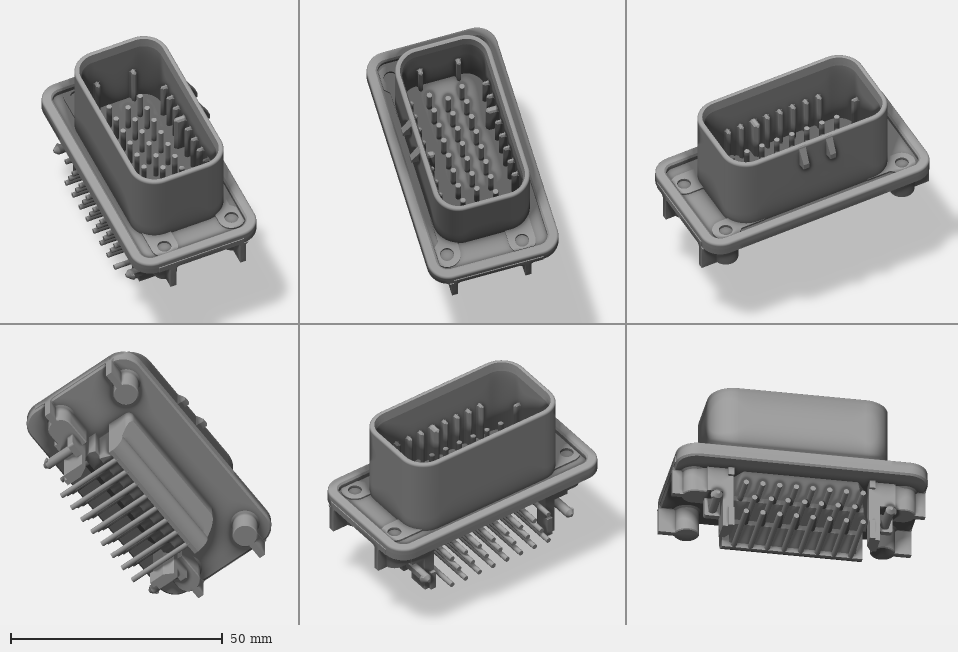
import cadquery as cq

LENGTH = 60.8
WIDTH = 32.1
FLANGE_DEPTH = 3.6
FLANGE_CORNER = 5.05
FLANGE_TOP_ROUND = 0.55
FLANGE_BOTTOM_BEVEL = 0.4
END_PAD = 0.2
PARTING_DEPTH = 1.5
DRAFT_ANGLE = 2.0

RIM = 2.6
RECESS_DEPTH = 1.5
RECESS_BEVEL = 0.4
PAD_TOP = -1.05
PAD_RADIUS = 3.2
PAD_REACH_OUT = 2.1
PAD_REACH_BACK = 2.4
PAD_BACK_LENGTH = 2.45
PAD_BACK_STEP = 1.2
PAD_HOLE_DIAMETER = 3.3
PAD_HOLE_DEPTH = 0.7

REAR_BOSS_X, REAR_BOSS_Y = 23.6, 10.75
FRONT_BOSS_X, FRONT_BOSS_Y = 25.1, -7.3
BOSS_DIAMETER = 5.95
BOSS_BOTTOM = -10.0
BOSS_BEVEL = 0.25
BOSS_FLARE = 0.4
BOSS_RIB_WIDTH = 1.5
BOSS_RIB_FLARE = 0.55

SHROUD_LENGTH = 43.3
SHROUD_WIDTH = 23.6
SHROUD_TOP = 18.5
SHROUD_CORNER = 6.2
SHROUD_RIM_ROUND = 0.55
MOUTH_WALL = 1.15
WALL = 1.65
LEAD_IN = 2.2
INNER_X = SHROUD_LENGTH / 2 - WALL
INNER_Y = SHROUD_WIDTH / 2 - WALL

LATCH_X = 3.6
LATCH_TIP_Y = 13.85
LATCH_ROOT_Y = 11.5
LATCH_BASE_WIDTH = 1.8
LATCH_TIP_WIDTH = 1.45
LATCH_SLOPE_END = 14.35
LATCH_BOTTOM = 12.95

KEY_TOP = 8.75
KEY_PITCH = 3.45
KEYS_PER_SIDE = 8
KEY_WIDTH, KEY_REACH = 1.05, 1.65
BIG_KEY_WIDTH, BIG_KEY_REACH = 1.6, 2.85
KEY_TOP_BEVEL = 0.4
KEY_NOSE_SHARE = 0.4
KEY_ROOT_FLARE = 0.3
SIDE_KEY_Y = 4.7
REAR_BIG_KEY = 3
FRONT_BIG_KEY = 5

PIN_DIAMETER = 1.3
PIN_PITCH = 4.0
PIN_TOP = 5.7
PIN_END_Y = -15.3
OUTER_ROW_PINS = 8
MIDDLE_ROW_PINS = 7
ROW_Z = -13.3
ROW_STEP = 3.95

BODY_BACK = 7.0
BODY_CORNER = 1.5
BODY_HALF = 16.9
STEP_HALF = 15.25
STEP_FACES = (-7.3, -3.2, 0.85)
STEP_FACE_HALF_HEIGHT = 0.6
BODY_BOTTOM = ROW_Z - ROW_STEP - STEP_FACE_HALF_HEIGHT
BODY_FRONT_TOP = -10.35
BODY_FRONT_TOP_HALF = 13.75
BODY_TAPER_START = -5.1
BACK_SLOPE_TOP = (BODY_BACK, -7.1)
BACK_SLOPE_END = (4.7, -13.75)
BACK_ROUND_MIDDLE = (3.9, -16.65)
BACK_ROUND_END = (1.9, BODY_BOTTOM)

BRACKET_BACK, BRACKET_FRONT = -5.65, -11.0
LEG_INNER, LEG_OUTER = 16.3, 18.9
BRACKET_OUTER = 22.6
LEG_BOTTOM = -19.35
LEG_BEVEL_X, LEG_BEVEL_Y = 1.3, 2.3
LEDGE_OUTER = 17.7
LEDGE_FRONT = -11.8
UPPER_LEDGE_BOTTOM = -5.55
LOWER_LEDGE_TOP = -14.4
PEG_PLATE_FRONT = -7.2
PEG_PLATE_BOTTOM = -14.6
PEG_PLATE_ROUND = 0.55
PEG_X, PEG_Z = 20.8, -12.8
PEG_RADIUS = 1.15
PEG_FLAT = 0.85
PEG_BARB_REACH = 1.5
PEG_BARB_HEIGHT = 1.5
PEG_BARB_START = -13.6
PEG_NOSE_LENGTH = 1.35
PEG_NOSE_RADIUS = 0.4

OVERLAP = 0.55
UNDER = -FLANGE_DEPTH + OVERLAP


def block(x0, x1, y0, y1, z0, z1):
    """Box between two corners."""
    return cq.Workplane("XY").box(
        abs(x1 - x0), abs(y1 - y0), abs(z1 - z0)
    ).translate(((x0 + x1) / 2, (y0 + y1) / 2, (z0 + z1) / 2))


def rounded_block(length, width, corner, z0, z1):
    """Centred box with rounded upright edges."""
    blank = cq.Workplane("XY").workplane(offset=z0).rect(length, width)
    return blank.extrude(z1 - z0).edges("|Z").fillet(corner)


def mirrored(shape):
    """The shape together with its copy on the other side of X = 0."""
    return shape.union(shape.mirror("YZ"))


def make_flange():
    outline = cq.Sketch().rect(LENGTH - 2 * END_PAD, WIDTH).vertices().fillet(FLANGE_CORNER)
    rim = cq.Workplane("XY").workplane(offset=-FLANGE_DEPTH)
    rim = rim.placeSketch(outline).extrude(FLANGE_DEPTH - PARTING_DEPTH)
    upper = cq.Workplane("XY").workplane(offset=-PARTING_DEPTH)
    upper = upper.placeSketch(outline).extrude(PARTING_DEPTH, taper=DRAFT_ANGLE)
    rim = rim.union(upper)
    rim = rim.faces(">Z").edges().fillet(FLANGE_TOP_ROUND)
    rim = rim.faces("<Z").edges().chamfer(FLANGE_BOTTOM_BEVEL)
    straight = WIDTH / 2 - FLANGE_CORNER
    end_bottom = FLANGE_BOTTOM_BEVEL - FLANGE_DEPTH
    ends = block(-LENGTH / 2, LENGTH / 2, -straight, straight, end_bottom, -PARTING_DEPTH)
    recess = rounded_block(
        LENGTH - 2 * (RIM + END_PAD), WIDTH - 2 * RIM, FLANGE_CORNER - RIM, -RECESS_DEPTH, 0
    )
    mouth = rounded_block(
        LENGTH - 2 * (RIM + END_PAD - RECESS_BEVEL),
        WIDTH - 2 * (RIM - RECESS_BEVEL),
        FLANGE_CORNER - RIM + RECESS_BEVEL,
        -RECESS_BEVEL,
        OVERLAP,
    ).faces("<Z").edges().chamfer(RECESS_BEVEL)
    return rim.union(ends).cut(recess).cut(mouth)


def make_front_pad():
    """Pad on the +X side in front, rounded outside and cut flat at its outer end."""
    height = PAD_TOP + RECESS_DEPTH
    base = cq.Workplane("XY").workplane(offset=-RECESS_DEPTH)
    pad = base.center(FRONT_BOSS_X, FRONT_BOSS_Y).circle(PAD_RADIUS).extrude(height)
    y0, y1 = FRONT_BOSS_Y - PAD_RADIUS, FRONT_BOSS_Y + PAD_RADIUS
    pad = pad.union(block(INNER_X - SHROUD_CORNER, FRONT_BOSS_X, y0, y1, -RECESS_DEPTH, PAD_TOP))
    limit = block(0, FRONT_BOSS_X + PAD_REACH_OUT, y0, y1, -RECESS_DEPTH, PAD_TOP)
    return pad.intersect(limit)


def make_rear_pad():
    """Pad on the +X side behind, cut flat at the back and stepping in towards the shroud."""
    height = PAD_TOP + RECESS_DEPTH
    base = cq.Workplane("XY").workplane(offset=-RECESS_DEPTH)
    back = REAR_BOSS_Y + PAD_REACH_BACK
    front = REAR_BOSS_Y - PAD_RADIUS
    pad = base.center(REAR_BOSS_X, REAR_BOSS_Y).circle(PAD_RADIUS).extrude(height)
    pad = pad.intersect(block(0, LENGTH / 2, 0, back, -RECESS_DEPTH, PAD_TOP))
    flat_end = REAR_BOSS_X - PAD_BACK_LENGTH
    inner_end = INNER_X - SHROUD_CORNER
    arm = base.polyline([
        (REAR_BOSS_X, front),
        (REAR_BOSS_X, back),
        (flat_end, back),
        (flat_end - PAD_BACK_STEP, back - PAD_BACK_STEP),
        (inner_end, back - PAD_BACK_STEP),
        (inner_end, front),
    ]).close().extrude(height)
    return pad.union(arm)


def make_pad_holes():
    spots = [
        (side * x, y)
        for side in (-1, 1)
        for x, y in ((REAR_BOSS_X, REAR_BOSS_Y), (FRONT_BOSS_X, FRONT_BOSS_Y))
    ]
    top = cq.Workplane("XY").workplane(offset=PAD_TOP)
    return top.pushPoints(spots).circle(PAD_HOLE_DIAMETER / 2).extrude(-PAD_HOLE_DEPTH)


def make_boss(x, y):
    """Boss with a rib that runs out to the end of the flange and flares into it."""
    boss = cq.Workplane("XY").workplane(offset=BOSS_BOTTOM).center(x, y)
    boss = boss.circle(BOSS_DIAMETER / 2).extrude(UNDER - BOSS_BOTTOM)
    boss = boss.faces("<Z").edges().chamfer(BOSS_BEVEL)
    flare = cq.Workplane("XY").workplane(offset=-FLANGE_DEPTH).center(x, y)
    flare = flare.circle(BOSS_DIAMETER / 2 + BOSS_FLARE).extrude(-BOSS_FLARE, taper=45)
    half = BOSS_RIB_WIDTH / 2
    flare_top = FLANGE_BOTTOM_BEVEL - FLANGE_DEPTH
    flare_bottom = flare_top - BOSS_RIB_FLARE
    right_half = [
        (half, BOSS_BOTTOM),
        (half, flare_bottom),
        (half + BOSS_RIB_FLARE, flare_top),
    ]
    left_half = [(-u, z) for u, z in reversed(right_half)]
    rib = (
        cq.Workplane("YZ").workplane(offset=x).center(y, 0)
        .polyline(right_half + left_half).close()
        .extrude(LENGTH / 2 - x)
    )
    return boss.union(flare).union(rib)


def make_bosses():
    rear = make_boss(REAR_BOSS_X, REAR_BOSS_Y)
    front = make_boss(FRONT_BOSS_X, FRONT_BOSS_Y)
    radius = BOSS_DIAMETER / 2
    web = block(
        LEG_OUTER, FRONT_BOSS_X, FRONT_BOSS_Y - radius, FRONT_BOSS_Y + radius, BOSS_BOTTOM, UNDER
    ).edges("|X and <Z").chamfer(BOSS_BEVEL)
    return mirrored(rear.union(front).union(web))


def make_shroud():
    shroud = rounded_block(
        SHROUD_LENGTH, SHROUD_WIDTH, SHROUD_CORNER, -FLANGE_DEPTH, SHROUD_TOP
    )
    return shroud.faces(">Z").edges().fillet(SHROUD_RIM_ROUND)


def cavity_section(wall):
    """Rounded outline of the cavity where the shroud wall has the given thickness."""
    outline = cq.Sketch().rect(SHROUD_LENGTH - 2 * wall, SHROUD_WIDTH - 2 * wall)
    return outline.vertices().fillet(SHROUD_CORNER - wall)


def make_cavity():
    """Inside of the shroud, opening out towards the mouth."""
    lead_in_start = cavity_section(WALL)
    mouth = cavity_section(MOUTH_WALL).moved(cq.Location(cq.Vector(0, 0, LEAD_IN)))
    lead_in = cq.Workplane("XY").workplane(offset=SHROUD_TOP - LEAD_IN)
    lead_in = lead_in.placeSketch(lead_in_start, mouth).loft()
    straight = cq.Workplane("XY").workplane(offset=-RECESS_DEPTH)
    straight = straight.placeSketch(lead_in_start).extrude(SHROUD_TOP - LEAD_IN + RECESS_DEPTH)
    return straight.union(lead_in)


def make_latches():
    """Two ramps on the back of the shroud, tapering in width towards the tip."""
    ramp = cq.Workplane("YZ").polyline([
        (LATCH_ROOT_Y, SHROUD_TOP),
        (LATCH_TIP_Y, LATCH_SLOPE_END),
        (LATCH_TIP_Y, LATCH_BOTTOM),
        (LATCH_ROOT_Y, LATCH_BOTTOM),
    ]).close().extrude(LATCH_BASE_WIDTH / 2, both=True)
    plan = cq.Workplane("XY").workplane(offset=LATCH_BOTTOM).polyline([
        (-LATCH_BASE_WIDTH / 2, LATCH_ROOT_Y),
        (LATCH_BASE_WIDTH / 2, LATCH_ROOT_Y),
        (LATCH_TIP_WIDTH / 2, LATCH_TIP_Y),
        (-LATCH_TIP_WIDTH / 2, LATCH_TIP_Y),
    ]).close().extrude(SHROUD_TOP - LATCH_BOTTOM)
    return mirrored(ramp.intersect(plan).translate((LATCH_X, 0, 0)))


def make_key(width, reach):
    """Keying rib growing towards +Y from a wall at Y = 0.

    It is bevelled at its nose and around its top, and flares out where it meets the wall.
    """
    half = width / 2
    root = -WALL / 2
    bottom = -RECESS_DEPTH - OVERLAP
    key = block(-half, half, root, reach, bottom, KEY_TOP)
    key = key.edges("|Z and >Y").chamfer(KEY_NOSE_SHARE * width)
    bevelled = block(-half, half, root, reach, bottom, KEY_TOP)
    bevelled = bevelled.faces(">Z").edges("not(<Y)").chamfer(KEY_TOP_BEVEL)
    flare = cq.Workplane("XY").workplane(offset=bottom).polyline([
        (-half - KEY_ROOT_FLARE, root),
        (-half - KEY_ROOT_FLARE, 0),
        (-half, KEY_ROOT_FLARE),
        (half, KEY_ROOT_FLARE),
        (half + KEY_ROOT_FLARE, 0),
        (half + KEY_ROOT_FLARE, root),
    ]).close().extrude(KEY_TOP - KEY_TOP_BEVEL - bottom)
    return key.intersect(bevelled).union(flare)


def make_keys():
    small = make_key(KEY_WIDTH, KEY_REACH)
    big = make_key(BIG_KEY_WIDTH, BIG_KEY_REACH)
    z_axis = ((0, 0, 0), (0, 0, 1))
    keys = []
    for i in range(KEYS_PER_SIDE):
        x = (i - (KEYS_PER_SIDE - 1) / 2) * KEY_PITCH
        front = big if i == FRONT_BIG_KEY else small
        rear = big if i == REAR_BIG_KEY else small
        keys.append(front.translate((x, -INNER_Y, 0)))
        keys.append(rear.rotate(*z_axis, 180).translate((x, INNER_Y, 0)))
    for y in (-SIDE_KEY_Y, SIDE_KEY_Y):
        keys.append(small.rotate(*z_axis, -90).translate((-INNER_X, y, 0)))
        keys.append(small.rotate(*z_axis, 90).translate((INNER_X, y, 0)))
    return keys


def make_body():
    """Stepped body: its side profile trimmed by its outline seen from above."""
    upper_y, middle_y, lower_y = STEP_FACES
    upper_z, middle_z, lower_z = ROW_Z + ROW_STEP, ROW_Z, ROW_Z - ROW_STEP
    h = STEP_FACE_HALF_HEIGHT
    profile = (
        cq.Workplane("YZ")
        .moveTo(BODY_BACK, UNDER)
        .lineTo(*BACK_SLOPE_TOP)
        .lineTo(*BACK_SLOPE_END)
        .threePointArc(BACK_ROUND_MIDDLE, BACK_ROUND_END)
        .lineTo(lower_y, BODY_BOTTOM)
        .lineTo(lower_y, lower_z + h)
        .lineTo(middle_y, middle_z - h)
        .lineTo(middle_y, middle_z + h)
        .lineTo(upper_y, upper_z - h)
        .lineTo(upper_y, upper_z + h)
        .lineTo(BODY_FRONT_TOP, -FLANGE_DEPTH)
        .lineTo(BODY_FRONT_TOP, UNDER)
        .close()
        .extrude(BODY_HALF, both=True)
    )
    height = UNDER - BODY_BOTTOM
    plan = block(
        -BODY_HALF, BODY_HALF, lower_y, BODY_BACK, BODY_BOTTOM, UNDER
    ).edges("|Z and >Y").fillet(BODY_CORNER)
    plan = plan.union(block(-STEP_HALF, STEP_HALF, middle_y, lower_y, BODY_BOTTOM, UNDER))
    right_side = [
        (BODY_HALF, middle_y),
        (BODY_HALF, BODY_TAPER_START),
        (BODY_FRONT_TOP_HALF, BODY_FRONT_TOP),
    ]
    left_side = [(-x, y) for x, y in reversed(right_side)]
    front = cq.Workplane("XY").workplane(offset=BODY_BOTTOM)
    front = front.polyline(right_side + left_side).close().extrude(height)
    return profile.intersect(plan.union(front))


def make_pins():
    """Three rows of contacts: upright inside the shroud, with tails towards -Y."""
    radius = PIN_DIAMETER / 2
    pins = []
    for row, face in zip((-1, 0, 1), STEP_FACES):
        count = MIDDLE_ROW_PINS if row == 0 else OUTER_ROW_PINS
        z = ROW_Z - row * ROW_STEP
        for i in range(count):
            x = (i - (count - 1) / 2) * PIN_PITCH
            contact = cq.Workplane("XY").workplane(offset=-RECESS_DEPTH - OVERLAP)
            contact = contact.center(x, row * PIN_PITCH).circle(radius)
            pins.append(contact.extrude(PIN_TOP + RECESS_DEPTH + OVERLAP))
            tail = cq.Workplane("XZ").workplane(offset=-face - OVERLAP)
            pins.append(tail.center(x, z).circle(radius).extrude(face + OVERLAP - PIN_END_Y))
    return pins


def make_peg():
    """Round peg with a flat along its outer side and an outward barb at its conical nose."""
    start = PEG_PLATE_FRONT + OVERLAP
    nose_start = PIN_END_Y + PEG_NOSE_LENGTH
    envelope = cq.Workplane("XY").polyline([
        (0, start),
        (PEG_BARB_REACH, start),
        (PEG_BARB_REACH, nose_start),
        (PEG_NOSE_RADIUS, PIN_END_Y),
        (0, PIN_END_Y),
    ]).close().revolve(360, (0, 0, 0), (0, 1, 0))
    shank = cq.Workplane("XZ").workplane(offset=-start).circle(PEG_RADIUS).extrude(start - PIN_END_Y)
    shank = shank.intersect(
        block(-PEG_RADIUS, PEG_FLAT, PIN_END_Y, start, -PEG_RADIUS, PEG_RADIUS)
    )
    barb_half = PEG_BARB_HEIGHT / 2
    barb = block(0, PEG_BARB_REACH, PIN_END_Y, PEG_BARB_START, -barb_half, barb_half)
    return shank.union(barb).intersect(envelope).translate((PEG_X, 0, PEG_Z))


def make_brackets():
    """Bracket, leg, ledges and peg on the +X side, repeated on the -X side."""
    bracket = block(LEG_INNER, BRACKET_OUTER, BRACKET_BACK, BRACKET_FRONT, BOSS_BOTTOM, UNDER)
    leg = block(LEG_INNER, LEG_OUTER, BRACKET_BACK, BRACKET_FRONT, LEG_BOTTOM, UNDER)
    plate = block(
        LEG_INNER, BRACKET_OUTER, BRACKET_BACK, PEG_PLATE_FRONT, PEG_PLATE_BOTTOM, UNDER
    ).edges("|Y and >X and <Z").fillet(PEG_PLATE_ROUND)
    upper_ledge = block(
        LEG_INNER, LEDGE_OUTER, BRACKET_BACK, LEDGE_FRONT, UPPER_LEDGE_BOTTOM, UNDER
    )
    lower_ledge = block(
        LEG_INNER, LEDGE_OUTER, BRACKET_BACK, LEDGE_FRONT, LEG_BOTTOM, LOWER_LEDGE_TOP
    )
    side = bracket.union(leg).union(plate).union(upper_ledge).union(lower_ledge)
    bevel = cq.Workplane("XY").workplane(offset=LEG_BOTTOM).polyline([
        (LEG_INNER, BRACKET_BACK),
        (LEG_INNER, BRACKET_BACK - LEG_BEVEL_Y),
        (LEG_INNER + LEG_BEVEL_X, BRACKET_BACK),
    ]).close().extrude(-FLANGE_DEPTH - LEG_BOTTOM)
    return mirrored(side.cut(bevel).union(make_peg()))


result = make_flange()
result = result.union(mirrored(make_front_pad().union(make_rear_pad())))
result = result.cut(make_pad_holes())
result = result.union(make_shroud()).union(make_latches()).cut(make_cavity())
result = result.union(make_bosses()).union(make_body()).union(make_brackets())
for detail in make_keys() + make_pins():
    result = result.union(detail)